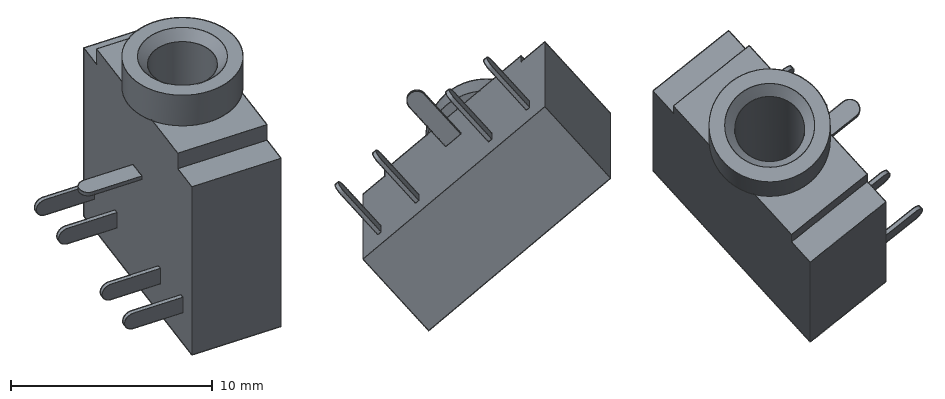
import cadquery as cq

body_left = -5.95
body_front = -2.49
body_width = 12.0
body_depth = 4.95
body_height = 10.87
shoulder_left = -4.53
shoulder_width = 9.0
shoulder_height = 1.0

total_height = 13.85
collar_diameter = 6.01
bore_diameter = 3.46
bore_mouth_diameter = 4.46
bore_depth = 11.91
collar_base = body_height + shoulder_height
chamfer_depth = (bore_mouth_diameter - bore_diameter) / 2

pin_width = 1.0
pin_thickness = 0.22
pin_length = 3.23
pin_root = 0.14
side_pin_z = 2.49
side_pin_x = (-4.86, -2.38, 2.44, 4.93)
centre_pin_z = 7.31


def housing_block(left, width, bottom, height):
    """Box with the housing depth."""
    return cq.Workplane("XY").box(width, body_depth, height, centered=False).translate(
        (left, body_front, bottom)
    )


def flat_pin():
    """Horizontal pin with a round tip, centred on X and Z at the front face."""
    half_width = pin_width / 2
    tip_start = -pin_length + half_width
    return (
        cq.Workplane("XY")
        .moveTo(-half_width, pin_root)
        .lineTo(-half_width, tip_start)
        .threePointArc((0, -pin_length), (half_width, tip_start))
        .lineTo(half_width, pin_root)
        .close()
        .extrude(pin_thickness / 2, both=True)
    )


result = housing_block(body_left, body_width, 0, body_height)
result = result.union(housing_block(shoulder_left, shoulder_width, body_height, shoulder_height))

collar = cq.Workplane("XY").workplane(offset=collar_base).circle(collar_diameter / 2)
result = result.union(collar.extrude(total_height - collar_base))
bore = cq.Workplane("XY").workplane(offset=total_height - bore_depth).circle(bore_diameter / 2)
result = result.cut(bore.extrude(bore_depth))
countersink = cq.Solid.makeCone(
    bore_diameter / 2,
    bore_mouth_diameter / 2,
    chamfer_depth,
    pnt=cq.Vector(0, 0, total_height - chamfer_depth),
)
result = result.cut(cq.Workplane(countersink))

result = result.union(flat_pin().translate((0, body_front, centre_pin_z)))
upright_pin = flat_pin().rotate((0, 0, 0), (0, 1, 0), 90)
for x in side_pin_x:
    result = result.union(upright_pin.translate((x, body_front, side_pin_z)))